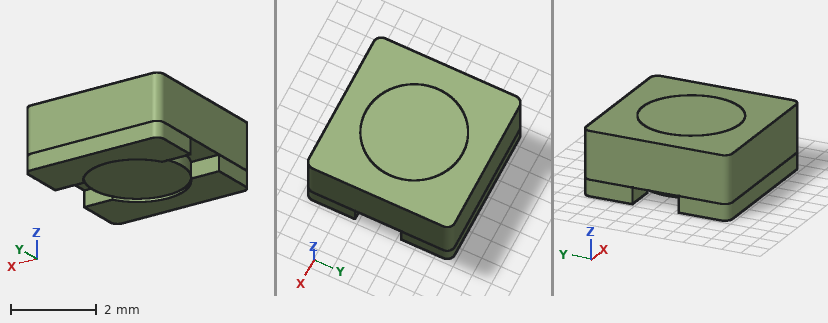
import cadquery as cq

side = 3.8
total_height = 1.65
corner_radius = 0.2
terminal_height = 0.42
terminal_gap = 1.2
bore_diameter = 2.52
core_diameter = 2.51
core_bottom = 0.08

terminal_width = (side - terminal_gap) / 2
terminal_offset = (terminal_gap + terminal_width) / 2


def bored_block(bottom, height):
    """Square block with rounded vertical corners and a central round bore."""
    block = cq.Workplane("XY").workplane(offset=bottom).rect(side, side).extrude(height)
    block = block.edges("|Z").fillet(corner_radius)
    bore = cq.Workplane("XY").workplane(offset=bottom).circle(bore_diameter / 2).extrude(height)
    return block.cut(bore)


def make_housing():
    """Shielding ring that rests on the terminals."""
    return bored_block(terminal_height, total_height - terminal_height)


def make_core():
    """Round core, flush with the housing top and raised above the mounting plane."""
    base = cq.Workplane("XY").workplane(offset=core_bottom)
    return base.circle(core_diameter / 2).extrude(total_height - core_bottom)


def make_terminal(direction):
    """Foot on the +Y or -Y side, hollowed to clear the core."""
    strip = (
        cq.Workplane("XY")
        .center(0, direction * terminal_offset)
        .rect(side, terminal_width)
        .extrude(terminal_height)
    )
    return bored_block(0, terminal_height).intersect(strip)


housing = make_housing()
core = make_core()
terminals = []
for direction in (-1, 1):
    terminals.append(make_terminal(direction).val())

result = cq.Compound.makeCompound([housing.val(), core.val(), *terminals])